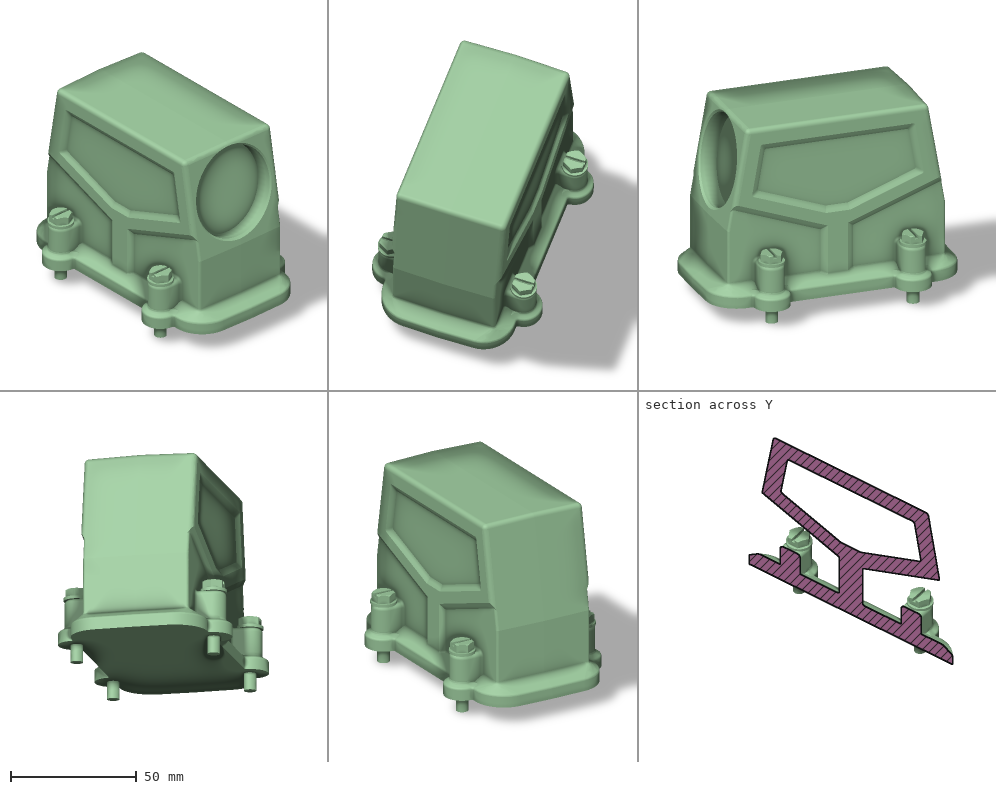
import cadquery as cq
import math

FLANGE_HALF_X = 53.25
FLANGE_HALF_Y = 27.7
FLANGE_CORNER_R = 13.0
FLANGE_EDGE_H = 5.0
SHOULDER_ANGLE = 30.0
EDGE_ROUND = 1.0

HOOD_HALF_X = 46.7
HOOD_HALF_Y = 23.1
HOOD_H = 74.5
CROWN = 0.5
BEND_Z = 31.1
LEAN_ANGLE = 10.0
HOOD_ROUND = 2.0
OVERLAP = 0.05
OVERRUN = 5.0

RECESS_DEPTH = 1.5
BEVEL_ANGLE = 60.0
PANEL_ANGLE = 20.0
RIB_HALF_X = 4.3
RIB_TOP_Z = 28.5
POCKET_TOP_Z = 67.1
POCKET_BOTTOM_Z = 34.0
POCKET_TOP_HALF_X = 32.7
POCKET_BOTTOM_HALF_X = 5.1
POCKET_CORNER_R = 2.0

ENTRY_D = 38.4
ENTRY_CHAMFER = 1.0
ENTRY_DEPTH = 8.0
ENTRY_Z = 53.5

SCREW_X = 30.0
SCREW_Y = 28.0
LUG_R = 7.5
BOSS_R = 5.0
BOSS_H = 18.2
BOSS_ROUND = 1.8
COLLAR_D = 10.6
COLLAR_TOP_Z = 19.2
COLLAR_H = 1.2
HEAD_TOP_Z = 22.6
HEAD_ACROSS_CORNERS = 9.4
HEAD_FACE_D = 8.2
HEAD_CHAMFER_ANGLE = 30.0
SLOT_W = 1.4
SLOT_DEPTH = 1.4
PIN_D = 5.0
PIN_LENGTH = 7.0


def tan_deg(angle):
    return math.tan(math.radians(angle))


def cos_deg(angle):
    return math.cos(math.radians(angle))


PANEL_HALF_Y = HOOD_HALF_Y - RECESS_DEPTH
SHOULDER_Z = FLANGE_EDGE_H + (FLANGE_HALF_Y - PANEL_HALF_Y) * tan_deg(SHOULDER_ANGLE)


def end_crest_x(z):
    """Half length of the hood at height z, measured on its ridge."""
    return HOOD_HALF_X - max(0.0, z - BEND_Z) * tan_deg(LEAN_ANGLE)


def crowned_outline(half_x, half_y, z, corner_r=0):
    """Closed rectangle wire whose two short ends rise to a shallow central crest."""
    corner_x = half_x - half_y * CROWN / HOOD_HALF_Y
    points = [
        (-corner_x, -half_y),
        (corner_x, -half_y),
        (half_x, 0),
        (corner_x, half_y),
        (-corner_x, half_y),
        (-half_x, 0),
    ]
    wire = cq.Workplane("XY", origin=(0, 0, z)).polyline(points).close().wire().val()
    if corner_r:
        corners = [v for v in wire.Vertices() if abs(v.Y) > half_y / 2]
        wire = wire.fillet2D(corner_r, corners)
    return wire


def ruled_solid(*wires):
    return cq.Workplane(cq.Solid.makeLoft(list(wires), True))


def hood_blank(half_y, top_z):
    """Hood shape with sharp edges: upright below the bend, leaning above it."""
    lower = ruled_solid(
        crowned_outline(HOOD_HALF_X, half_y, 0),
        crowned_outline(HOOD_HALF_X, half_y, BEND_Z),
    )
    upper = ruled_solid(
        crowned_outline(HOOD_HALF_X, half_y, BEND_Z),
        crowned_outline(end_crest_x(top_z), half_y, top_z),
    )
    return lower.union(upper)


def is_corner_edge(edge, half_y):
    """True for edges running up the four corners of a hood blank."""
    ends = [edge.startPoint(), edge.endPoint()]
    on_side = all(abs(abs(p.y) - half_y) < 1e-3 for p in ends)
    return on_side and abs(ends[0].z - ends[1].z) > 1


def round_corners(blank, half_y, radius):
    edges = [e for e in blank.edges().vals() if is_corner_edge(e, half_y)]
    return blank.newObject(edges).fillet(radius)


def mirrored_y(shape):
    return shape.union(shape.mirror("XZ"))


def side_plane():
    """Drawing plane on the -Y face of the frame: local x = X, local y = Z."""
    return cq.Workplane("XZ", origin=(0, -HOOD_HALF_Y, 0))


def panel_cutter():
    """Recess beside the rib, below one arm of the frame."""
    depth = 2 * RECESS_DEPTH
    far_x = HOOD_HALF_X + 2 * OVERRUN
    far_z = RIB_TOP_Z + (far_x - RIB_HALF_X) * tan_deg(PANEL_ANGLE)
    outline = [
        (RIB_HALF_X, -2 * OVERRUN),
        (far_x, -2 * OVERRUN),
        (far_x, far_z),
        (RIB_HALF_X, RIB_TOP_Z),
    ]
    cutter = side_plane().polyline(outline).close().extrude(-depth, taper=BEVEL_ANGLE)
    return cutter.union(cutter.mirror("YZ"))


def pocket_cutter():
    """Bevelled label pocket in the upper half of the side."""
    lean = tan_deg(LEAN_ANGLE)
    slope = tan_deg(PANEL_ANGLE)
    height = POCKET_TOP_Z - POCKET_BOTTOM_Z
    spread = POCKET_TOP_HALF_X - POCKET_BOTTOM_HALF_X
    waist_rise = (spread + lean * height) * slope / (1 + lean * slope)
    waist_z = POCKET_BOTTOM_Z + waist_rise
    waist_x = POCKET_BOTTOM_HALF_X + waist_rise / slope
    outline = [
        (-POCKET_BOTTOM_HALF_X, POCKET_BOTTOM_Z),
        (POCKET_BOTTOM_HALF_X, POCKET_BOTTOM_Z),
        (waist_x, waist_z),
        (POCKET_TOP_HALF_X, POCKET_TOP_Z),
        (-POCKET_TOP_HALF_X, POCKET_TOP_Z),
        (-waist_x, waist_z),
    ]
    cutter = side_plane().polyline(outline).close().extrude(-RECESS_DEPTH, taper=BEVEL_ANGLE)

    def is_corner(edge):
        across = abs(edge.startPoint().y - edge.endPoint().y) > RECESS_DEPTH / 2
        return across and abs(edge.Center().x) > POCKET_TOP_HALF_X / 2

    corners = [e for e in cutter.edges().vals() if is_corner(e)]
    return cutter.newObject(corners).fillet(POCKET_CORNER_R)


def make_frame():
    """Full-width hood with its crowned roof and rounded edges, panels cut away."""
    top_z = HOOD_H + OVERRUN
    eave_z = HOOD_H - CROWN
    roof_section = [
        (-HOOD_HALF_Y, 0),
        (HOOD_HALF_Y, 0),
        (HOOD_HALF_Y, eave_z),
        (0, HOOD_H),
        (-HOOD_HALF_Y, eave_z),
    ]
    roof = cq.Workplane("YZ").polyline(roof_section).close().extrude(HOOD_HALF_X, both=True)
    frame = hood_blank(HOOD_HALF_Y, top_z).intersect(roof)
    roof_limit = eave_z - 1e-3

    def is_roof_edge(edge):
        ends = [edge.startPoint(), edge.endPoint()]
        at_roof = all(p.z > roof_limit for p in ends)
        on_ridge = all(abs(p.y) < 1e-3 for p in ends)
        return at_roof and not on_ridge

    edges = frame.edges().vals()
    rounded = [e for e in edges if is_corner_edge(e, HOOD_HALF_Y) or is_roof_edge(e)]
    frame = frame.newObject(rounded).fillet(HOOD_ROUND)
    return frame.cut(mirrored_y(panel_cutter())).cut(mirrored_y(pocket_cutter()))


def make_core():
    """Narrower hood whose sides form the floors of the recessed panels."""
    panel_top_z = RIB_TOP_Z + (HOOD_HALF_X - RIB_HALF_X) * tan_deg(PANEL_ANGLE)
    return round_corners(hood_blank(PANEL_HALF_Y, panel_top_z), PANEL_HALF_Y, EDGE_ROUND)


def round_at_height(shape, z):
    """Rounds every edge lying level at height z."""
    edges = [e for e in shape.edges().vals() if e.BoundingBox().zlen < 1e-3 and abs(e.Center().z - z) < 1e-3]
    return shape.newObject(edges).fillet(EDGE_ROUND)


def make_flange():
    """Upright-edged base plate with a shoulder sloping up to the hood."""
    rim = crowned_outline(FLANGE_HALF_X, FLANGE_HALF_Y, FLANGE_EDGE_H, FLANGE_CORNER_R)
    top = crowned_outline(HOOD_HALF_X, PANEL_HALF_Y, SHOULDER_Z, EDGE_ROUND)
    plate = cq.Workplane(cq.Solid.extrudeLinear(rim, [], cq.Vector(0, 0, -FLANGE_EDGE_H)))
    flange = plate.union(ruled_solid(rim, top))
    return round_at_height(flange, FLANGE_EDGE_H)


def at_screws(shape):
    """Copies a shape built at +SCREW_X, -SCREW_Y to all four screw places."""
    pair = shape.union(shape.mirror("YZ"))
    return mirrored_y(pair)


def lug_outline():
    """Lug nose centred on the origin, flaring into a line just inside the flange edge."""
    wall_y = SCREW_Y - FLANGE_HALF_Y + OVERLAP
    flare_y = wall_y - EDGE_ROUND
    centre_dist = LUG_R + EDGE_ROUND
    flare_x = math.sqrt(centre_dist**2 - flare_y**2)
    nose_end = (flare_x * LUG_R / centre_dist, flare_y * LUG_R / centre_dist)
    middle = (math.pi + math.atan2(flare_y, flare_x) + math.pi / 2) / 2
    flare_mid = (flare_x + EDGE_ROUND * math.cos(middle), flare_y + EDGE_ROUND * math.sin(middle))
    wing_x = flare_x + 1.5 * EDGE_ROUND
    back_y = wall_y + LUG_R
    return (
        cq.Workplane("XY")
        .moveTo(-nose_end[0], nose_end[1])
        .threePointArc((0, -LUG_R), nose_end)
        .threePointArc(flare_mid, (flare_x, wall_y))
        .lineTo(wing_x, wall_y)
        .lineTo(wing_x, back_y)
        .lineTo(-wing_x, back_y)
        .lineTo(-wing_x, wall_y)
        .lineTo(-flare_x, wall_y)
        .threePointArc((-flare_mid[0], flare_mid[1]), (-nose_end[0], nose_end[1]))
        .close()
    )


def make_lug():
    """Round ear blending into the flange edge, with a sloped and rounded top."""
    rise = (LUG_R - BOSS_R + OVERLAP) * tan_deg(SHOULDER_ANGLE)
    plate = lug_outline().extrude(FLANGE_EDGE_H)
    slope = lug_outline().extrude(rise, taper=90 - SHOULDER_ANGLE)
    lug = plate.union(slope.translate((0, 0, FLANGE_EDGE_H)))
    return round_at_height(lug, FLANGE_EDGE_H).translate((SCREW_X, -SCREW_Y, 0))


def make_boss():
    """Round-fronted screw boss reaching back into the hood wall."""
    reach = SCREW_Y - PANEL_HALF_Y + RECESS_DEPTH
    boss = (
        cq.Workplane("XY")
        .moveTo(-BOSS_R, reach)
        .lineTo(-BOSS_R, 0)
        .threePointArc((0, -BOSS_R), (BOSS_R, 0))
        .lineTo(BOSS_R, reach)
        .close()
        .extrude(BOSS_H)
    )
    boss = boss.faces(">Z").edges("not >Y").fillet(BOSS_ROUND)
    return boss.translate((SCREW_X, -SCREW_Y, 0))


def round_boss_roots(hood):
    """Fillets the corner where each boss runs into the hood wall."""

    def is_root_edge(edge):
        box = edge.BoundingBox()
        in_wall = box.ylen < 1e-3 and abs(abs(edge.Center().y) - PANEL_HALF_Y) < 1e-3
        beside_boss = abs(abs(edge.Center().x) - SCREW_X) < BOSS_R + OVERLAP
        return in_wall and beside_boss and OVERLAP < box.zmax < BOSS_H + OVERLAP

    edges = [e for e in hood.edges().vals() if is_root_edge(e)]
    return hood.newObject(edges).fillet(EDGE_ROUND)


def make_boss_foot():
    """Ring filling the concave corner between the boss and the lug slope."""
    corner_z = FLANGE_EDGE_H + (LUG_R - BOSS_R) * tan_deg(SHOULDER_ANGLE)
    half_turn = (90 - SHOULDER_ANGLE) / 2
    tangent = EDGE_ROUND * tan_deg(half_turn)
    centre = (BOSS_R + EDGE_ROUND, corner_z + tangent)
    low = (BOSS_R + tangent * cos_deg(SHOULDER_ANGLE), corner_z - tangent * cos_deg(90 - SHOULDER_ANGLE))
    middle = (centre[0] - EDGE_ROUND * cos_deg(half_turn), centre[1] - EDGE_ROUND * cos_deg(90 - half_turn))
    ring = (
        cq.Workplane("XZ")
        .moveTo(BOSS_R - EDGE_ROUND, low[1] - OVERLAP)
        .lineTo(low[0], low[1] - OVERLAP)
        .lineTo(*low)
        .threePointArc(middle, (BOSS_R, centre[1]))
        .lineTo(BOSS_R - EDGE_ROUND, centre[1])
        .close()
    )
    return ring.revolve(360, (0, 0), (0, 1)).translate((SCREW_X, -SCREW_Y, 0))


def make_screw():
    """Slotted hexagon-head screw with a collar, its shank fused in the boss."""
    head_r = HEAD_ACROSS_CORNERS / 2
    face_r = HEAD_FACE_D / 2
    chamfer_drop = (head_r - face_r) * tan_deg(HEAD_CHAMFER_ANGLE)
    pin = cq.Workplane("XY").workplane(offset=-PIN_LENGTH).circle(PIN_D / 2).extrude(PIN_LENGTH + BOSS_H)
    collar = (
        cq.Workplane("XY").workplane(offset=COLLAR_TOP_Z - COLLAR_H).circle(COLLAR_D / 2).extrude(COLLAR_H)
    )
    head = (
        cq.Workplane("XY")
        .workplane(offset=COLLAR_TOP_Z)
        .polygon(6, HEAD_ACROSS_CORNERS)
        .extrude(HEAD_TOP_Z - COLLAR_TOP_Z)
    )
    turned_section = [
        (0, COLLAR_TOP_Z),
        (head_r, COLLAR_TOP_Z),
        (head_r, HEAD_TOP_Z - chamfer_drop),
        (face_r, HEAD_TOP_Z),
        (0, HEAD_TOP_Z),
    ]
    turned = cq.Workplane("XZ").polyline(turned_section).close().revolve(360, (0, 0), (0, 1))
    slot = cq.Workplane("XY").box(SLOT_W, HEAD_ACROSS_CORNERS, 2 * SLOT_DEPTH).translate((0, 0, HEAD_TOP_Z))
    screw = pin.union(collar).union(head.intersect(turned).cut(slot))
    return screw.translate((SCREW_X, -SCREW_Y, 0))


def entry_cutter():
    """Chamfered cable entry, square to the leaning +X end."""
    centre = (end_crest_x(ENTRY_Z), 0, ENTRY_Z)
    outward = (cos_deg(LEAN_ANGLE), 0, math.sin(math.radians(LEAN_ANGLE)))
    bore_r = ENTRY_D / 2
    mouth_r = bore_r + ENTRY_CHAMFER
    section = [
        (0, -ENTRY_DEPTH),
        (bore_r, -ENTRY_DEPTH),
        (bore_r, -ENTRY_CHAMFER),
        (mouth_r, 0),
        (mouth_r, OVERRUN),
        (0, OVERRUN),
    ]
    sideways = cq.Vector(0, 1, 0)
    plane = cq.Plane(origin=centre, xDir=(0, 1, 0), normal=sideways.cross(cq.Vector(*outward)).toTuple())
    return cq.Workplane(plane).polyline(section).close().revolve(360, (0, 0), (0, 1))


def round_hood_base(body):
    """Fillets the concave corner where the hood rises out of the flange shoulder."""
    lowest = FLANGE_EDGE_H + (FLANGE_HALF_Y - HOOD_HALF_Y) * tan_deg(SHOULDER_ANGLE) - OVERLAP

    def is_base_edge(edge):
        box = edge.BoundingBox()
        return box.zmin > lowest and box.zmax < SHOULDER_Z + OVERLAP

    edges = [e for e in body.edges().vals() if is_base_edge(e)]
    return body.newObject(edges).fillet(EDGE_ROUND)


hood = make_frame().union(make_core())
bossed_hood = round_boss_roots(hood.union(at_screws(make_boss())))
body = round_hood_base(hood.union(make_flange()))
body = body.union(bossed_hood).cut(entry_cutter())
for screw_feature in (make_lug(), make_boss_foot(), make_screw()):
    body = body.union(at_screws(screw_feature))
result = body